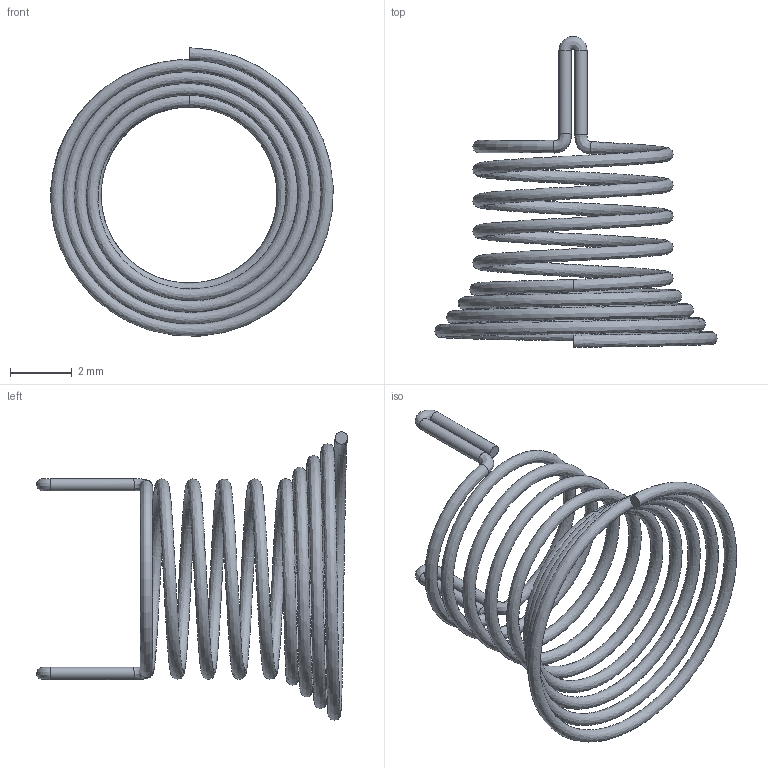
import cadquery as cq
import math

WIRE_RADIUS = 0.2
COIL_RADIUS = 3.04
CONE_TURNS = 4
CONE_PITCH = 0.45
CONE_RADIUS_STEP = 0.38
BODY_TURNS = 4.5
BODY_PITCH = 1.0

LEG_OFFSET = 0.255
LEG_LENGTH = 2.705
BEND_WIDTH = 0.345
BEND_DEPTH = 0.4
BEND_HANDLE = 0.68

POINTS_PER_TURN = 24

FULL_TURN = 2 * math.pi
CONE_LENGTH = CONE_TURNS * CONE_PITCH
WIDE_RADIUS = COIL_RADIUS + CONE_TURNS * CONE_RADIUS_STEP
BEND_ANGLE = math.asin((LEG_OFFSET + BEND_WIDTH) / COIL_RADIUS)
BODY_END_TURN = BODY_TURNS - BEND_ANGLE / FULL_TURN
BACK_Y = CONE_LENGTH + BODY_TURNS * BODY_PITCH
LEG_START_Y = BACK_Y + BEND_DEPTH
LEG_END_Y = LEG_START_Y + LEG_LENGTH
LEG_Z = (COIL_RADIUS - LEG_OFFSET * math.sin(BEND_ANGLE)) / math.cos(BEND_ANGLE)


def coil_point(radius, angle, y):
    """Point at an angle measured from +Z toward +X around the spring axis."""
    return cq.Vector(radius * math.sin(angle), y, radius * math.cos(angle))


def coil_direction(angle):
    """Direction of growing angle around the spring axis, square to the radius."""
    return coil_point(1, angle + math.pi / 2, 0)


def cone_point(turn):
    """Wire centre in the conical part, counted in turns from the wide end."""
    radius = WIDE_RADIUS - turn * CONE_RADIUS_STEP
    return coil_point(radius, FULL_TURN * turn, turn * CONE_PITCH)


def body_point(turn):
    """Wire centre in the cylindrical part, counted in turns from the cone."""
    return coil_point(COIL_RADIUS, FULL_TURN * turn, CONE_LENGTH + turn * BODY_PITCH)


def coil_edge(point_at, turns):
    """Spline along point_at(turn), from turn 0."""
    steps = math.ceil(turns * POINTS_PER_TURN)
    return cq.Edge.makeSpline([point_at(turns * step / steps) for step in range(steps + 1)])


def leg_points(side, z):
    """Start and end of the leg on the +X (side 1) or -X (side -1) side of a hairpin."""
    x = side * LEG_OFFSET
    return cq.Vector(x, LEG_START_Y, z), cq.Vector(x, LEG_END_Y, z)


def bend_edge(start, end):
    """Quarter-turn bend between a coil and a leg; the point further back is on the leg."""
    coil_end, leg_start = sorted((start, end), key=lambda point: point.y)
    corner = cq.Vector(leg_start.x, coil_end.y, leg_start.z)
    start_handle = start + (corner - start) * BEND_HANDLE
    end_handle = end + (corner - end) * BEND_HANDLE
    return cq.Edge.makeBezier([start, start_handle, end_handle, end])


def hairpin_edges(first_side, z):
    """Up one leg, around the half-circle and back down the other leg."""
    first_start, first_end = leg_points(first_side, z)
    second_start, second_end = leg_points(-first_side, z)
    tip = cq.Vector(0, LEG_END_Y + LEG_OFFSET, z)
    return [
        cq.Edge.makeLine(first_start, first_end),
        cq.Edge.makeThreePointArc(first_end, tip, second_end),
        cq.Edge.makeLine(second_end, second_start),
    ]


def back_edges():
    """Path of both hairpins and the flat half-turn between them, starting at the end of the body coil."""
    body_end = body_point(BODY_END_TURN)
    arc_start = coil_point(COIL_RADIUS, math.pi + BEND_ANGLE, BACK_Y)
    arc_middle = coil_point(COIL_RADIUS, -math.pi / 2, BACK_Y)
    arc_end = coil_point(COIL_RADIUS, -BEND_ANGLE, BACK_Y)
    lower_first = leg_points(1, -LEG_Z)[0]
    lower_last = leg_points(-1, -LEG_Z)[0]
    upper_first = leg_points(-1, LEG_Z)[0]

    edges = [bend_edge(body_end, lower_first)]
    edges += hairpin_edges(1, -LEG_Z)
    edges.append(bend_edge(lower_last, arc_start))
    edges.append(cq.Edge.makeThreePointArc(arc_start, arc_middle, arc_end))
    edges.append(bend_edge(arc_end, upper_first))
    edges += hairpin_edges(-1, LEG_Z)
    return edges


edges = [coil_edge(cone_point, CONE_TURNS), coil_edge(body_point, BODY_END_TURN)]
edges += back_edges()
path = cq.Wire.assembleEdges(edges)
section = cq.Wire.makeCircle(WIRE_RADIUS, cone_point(0), coil_direction(0))
result = cq.Workplane(cq.Solid.sweep(section, [], path, makeSolid=True, isFrenet=True))